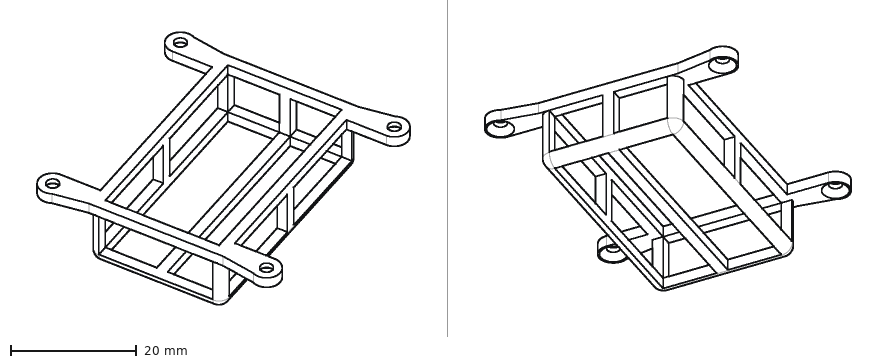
import cadquery as cq
import math

overall_size = 44.7
overall_height = 12.0
bar = 2.0
side_wall = 1.9
cage_x = 24.95
cage_y = 42.1
corner_radius = 1.9
ear_radius = 2.5
hole_diameter = 2.2
countersink_depth = 1.1
taper_start = 1.15

ear_centre = overall_size / 2 - ear_radius
inner_x = cage_x - 2 * side_wall
inner_y = cage_y - 2 * bar
frame_bottom = overall_height - bar
opening_height = frame_bottom - bar


def box(size_x, size_y, size_z, bottom=0):
    """Box centred in X and Y, standing on the given height."""
    return (
        cq.Workplane("XY")
        .workplane(offset=bottom)
        .rect(size_x, size_y)
        .extrude(size_z)
    )


def make_cage():
    """Rounded tray cut open to leave bottom bars and upright posts."""
    cage = box(cage_x, cage_y, frame_bottom)
    cage = cage.edges("|Z or <Z").fillet(corner_radius)
    cage = cage.cut(box(inner_x, inner_y, overall_height))

    end_windows = box(inner_x, overall_size, opening_height, bar)
    far_end_post = box(bar, overall_size, opening_height, bar).translate((0, overall_size / 2, 0))
    side_windows = box(overall_size, inner_y, opening_height, bar)
    side_posts = box(overall_size, bar, opening_height, bar)
    cage = cage.cut(end_windows.cut(far_end_post)).cut(side_windows.cut(side_posts))

    floor_bar = box(bar, inner_y, bar)
    return cage.union(floor_bar)


def make_arm(sign_x, sign_y):
    """Tapered arm with a round ear, reaching out from one frame corner."""
    taper_rise = math.sqrt(ear_radius**2 - taper_start**2)
    outline = [
        (ear_centre, ear_centre - ear_radius),
        (inner_x / 2, ear_centre - ear_radius),
        (inner_x / 2, cage_y / 2),
        (cage_x / 2, cage_y / 2),
        (ear_centre - taper_start, ear_centre + taper_rise),
        (ear_centre, ear_centre),
    ]
    plane = cq.Workplane("XY").workplane(offset=frame_bottom)
    arm = plane.polyline([(sign_x * x, sign_y * y) for x, y in outline]).close().extrude(bar)
    ear = plane.center(sign_x * ear_centre, sign_y * ear_centre).circle(ear_radius).extrude(bar)
    return arm.union(ear)


def make_top_frame():
    """Flat rectangular frame with four drilled mounting arms."""
    frame = box(cage_x, cage_y, bar, frame_bottom)
    for sign_x in (-1, 1):
        for sign_y in (-1, 1):
            frame = frame.union(make_arm(sign_x, sign_y))
    frame = frame.cut(box(inner_x, inner_y, bar, frame_bottom))
    return frame.cut(make_ear_holes())


def make_ear_holes():
    """Cutter for the four ear holes, each countersunk from below."""
    hole_radius = hole_diameter / 2
    profile = [
        (0, 0),
        (hole_radius + countersink_depth, 0),
        (hole_radius, countersink_depth),
        (hole_radius, bar),
        (0, bar),
    ]
    hole = cq.Workplane("XZ").polyline(profile).close().revolve(360, (0, 0), (0, 1)).val()
    return (
        cq.Workplane("XY")
        .workplane(offset=frame_bottom)
        .rect(2 * ear_centre, 2 * ear_centre, forConstruction=True)
        .vertices()
        .eachpoint(lambda location: hole.moved(location))
    )


result = make_cage().union(make_top_frame())